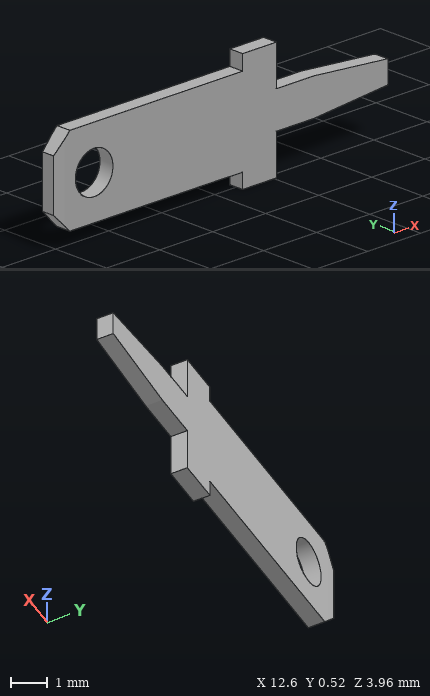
import cadquery as cq

length = 12.57
thickness = 0.52
shoulder_height = 3.96

blade_height = 2.94
corner_cut_x = 0.58
corner_cut_z = 0.6
bevel_length = 0.39
bevel_depth = 0.04
hole_x = 1.5
hole_diameter = 1.41

shoulder_start = 7.09
shoulder_end = 8.37
taper_start = 9.78
pin_height = 1.25
pin_tip_height = 0.77


def make_plate():
    """Extrude the flat outline, symmetric about Z = 0 and centered in Y."""
    upper_edge = [
        (0, blade_height / 2 - corner_cut_z),
        (corner_cut_x, blade_height / 2),
        (shoulder_start, blade_height / 2),
        (shoulder_start, shoulder_height / 2),
        (shoulder_end, shoulder_height / 2),
        (shoulder_end, pin_height / 2),
        (taper_start, pin_height / 2),
        (length, pin_tip_height / 2),
    ]
    lower_edge = [(x, -z) for x, z in reversed(upper_edge)]
    outline = cq.Workplane("XZ").polyline(upper_edge + lower_edge).close()
    return outline.extrude(thickness / 2, both=True)


def make_hole():
    """Round hole through the blade."""
    hole = cq.Workplane("XZ").center(hole_x, 0).circle(hole_diameter / 2)
    return hole.extrude(thickness, both=True)


def make_bevel(side):
    """Wedge that thins the blade tip on the +Y (1) or -Y (-1) face."""
    face_y = side * thickness / 2
    wedge = cq.Workplane("XY").polyline([
        (0, face_y),
        (bevel_length, face_y),
        (0, face_y - side * bevel_depth),
    ]).close()
    return wedge.extrude(blade_height, both=True)


result = make_plate().cut(make_hole())
for side in (-1, 1):
    result = result.cut(make_bevel(side))